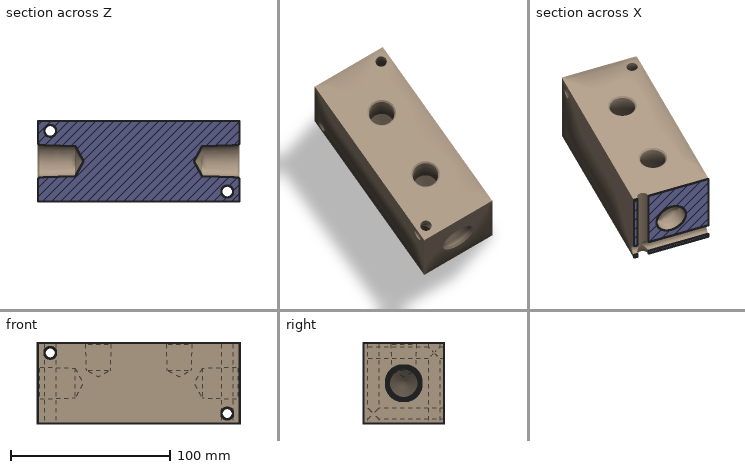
import cadquery as cq
import math

LENGTH = 127.0
SIDE = 50.8

MOUNT_DIAMETER = 7.1
MOUNT_SPACING = 111.1
MOUNT_EDGE_INSET = 6.4

TAPER = 1 / 16
POINT_ANGLE = 123.0

OUTLET_SPACING = 50.8
OUTLET_MOUTH = 18.0
OUTLET_BORE = 16.1
OUTLET_DEPTH = 17.3

INLET_MOUTH = 22.6
INLET_BORE = 20.1
INLET_DEPTH = 23.6


def port_cutter(mouth, bore, depth):
    """Port opening at the origin and running along -Z; depth is to the start of the drill point."""
    chamfer = (mouth - bore) / 2
    root = bore - TAPER * (depth - chamfer)
    point_height = root / 2 / math.tan(math.radians(POINT_ANGLE / 2))
    profile = [
        (0, 0),
        (mouth / 2, 0),
        (bore / 2, -chamfer),
        (root / 2, -depth),
        (0, -depth - point_height),
    ]
    return cq.Workplane("XZ").polyline(profile).close().revolve(360, (0, 0, 0), (0, 1, 0))


def mounting_holes(plane):
    """Two through holes at diagonally opposite corners of a long face."""
    along = MOUNT_SPACING / 2
    across = SIDE / 2 - MOUNT_EDGE_INSET
    return (
        cq.Workplane(plane)
        .pushPoints([(-along, across), (along, -across)])
        .circle(MOUNT_DIAMETER / 2)
        .extrude(SIDE / 2, both=True)
    )


result = cq.Workplane("XY").box(LENGTH, SIDE, SIDE)

for plane in ("XY", "XZ"):
    result = result.cut(mounting_holes(plane))

outlet = port_cutter(OUTLET_MOUTH, OUTLET_BORE, OUTLET_DEPTH)
for side in (-1, 1):
    result = result.cut(outlet.translate((side * OUTLET_SPACING / 2, 0, SIDE / 2)))

inlet = port_cutter(INLET_MOUTH, INLET_BORE, INLET_DEPTH)
for end in (-1, 1):
    end_port = inlet.rotate((0, 0, 0), (0, 1, 0), end * 90)
    result = result.cut(end_port.translate((end * LENGTH / 2, 0, 0)))